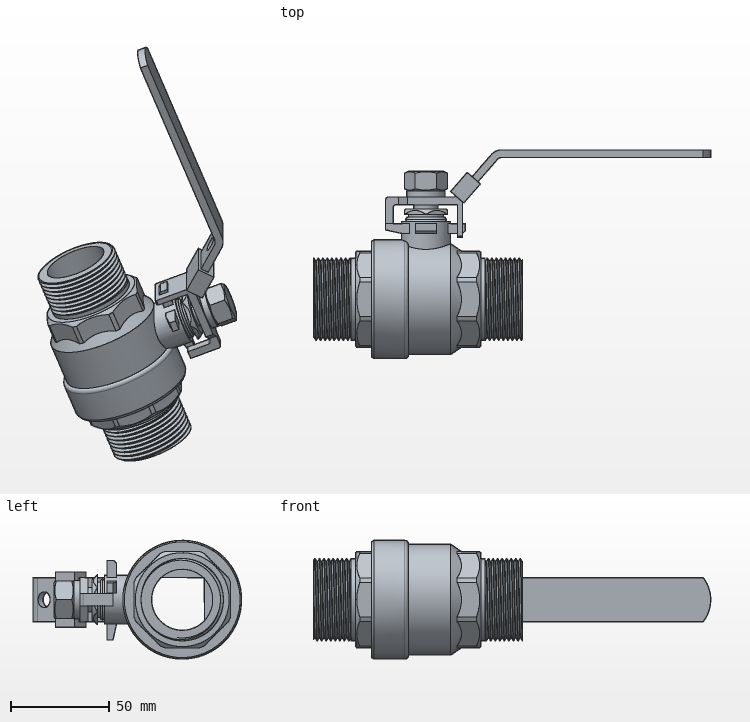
import cadquery as cq
import math


BORE_D = 31.0
LEFT_OCTAGON_X = -35.8
COLLAR_LEFT_X = -27.8
COLLAR_RIGHT_X = -8.8
CONE_START_X = 12.6
CONE_END_X = 18.8
RIGHT_OCTAGON_X = 27.9
COLLAR_R = 30.25
BODY_R = 28.25
CONE_END_R = 24.0
COLLAR_CHAMFER_LENGTH = 1.4
COLLAR_CHAMFER_DEPTH = 0.8

OCTAGON_FLATS = 49.0
OCTAGON_ROUND_R = 26.05
OCTAGON_FACE_R = 23.9

THREAD_R = 20.95
THREAD_PITCH = 2.309
THREAD_DEPTH = 1.48
THREAD_ROOT_R = THREAD_R - THREAD_DEPTH
THREAD_LENGTH = 19.1
NECK_LENGTH = 2.2
RIDGE_HALF_BASE = 1.05
RIDGE_HALF_CREST = 0.12
RIDGE_OVERLAP = 0.1
RIGHT_THREAD_TURN = -90

BONNET_R = 12.5
BONNET_TOP_Y = 39.6
SPRING_TOP_Y = 41.7
SPRING_RIM_R = 10.5
SPRING_CROWN_R = 9.7
GLAND_R = 9.0
LOCK_NUT_BOTTOM_Y = 43.1
LOCK_NUT_TOP_Y = 45.9
LOCK_NUT_FLATS = 22.0
LOCK_NUT_FACE_R = 10.4
STEM_R = 6.25
WASHER_R = 9.8
NUT_BOTTOM_Y = 55.1
NUT_TOP_Y = 65.2
NUT_FLATS = 19.0
NUT_FACE_R = 8.7
NUT_CHAMFER_HEIGHT = 1.1

WING_TOP_Y = 38.4
WING_BOTTOM_Y = 33.4
WING_REACH = 20.0
WING_HALF_WIDTH = 5.4
WING_CHAMFER = 1.4
STOP_REACH = 20.6
STOP_NEAR_SIDE = 3.3
STOP_FAR_SIDE = 9.4
STOP_TIP_FAR_SIDE = 8.4
STOP_TIP_Y = 35.2
STOP_SLOPE_END = 12.6
STOP_ROOT = math.sqrt(BONNET_R**2 - STOP_FAR_SIDE**2)

LEVER_WIDTH = 22.5
LEVER_THICKNESS = 4.0
LEVER_PLATE_Y = 48.0
LEVER_GRIP_TOP_Y = 76.0
LEVER_ANGLE = 49.0
LEVER_KNEE_X = 14.5
LEVER_LEFT_X = -20.6
LEVER_RIGHT_X = 144.95
LEVER_TAB_BOTTOM_Y = 35.2
LEVER_TAB_HALF_WIDTH = 3.2
LEVER_FLARE_START_X = -13.9
LEVER_FLARE_END_X = -9.3
LEVER_END_BULGE = 3.9
LEVER_INNER_R = 3.0
TAB_BEND_R = 1.5
EDGE_REACH = 0.1
HANG_HOLE_D = 8.0
HANG_HOLE_Y = 69.0

SLEEVE_LENGTH = 12.9
SLEEVE_HEIGHT = 9.0
SLEEVE_WIDTH = 28.2
SLEEVE_START_X = 15.9
SLEEVE_START_Y = 51.85
LOCK_PLATE_LEFT_X = 16.0
LOCK_PLATE_RIGHT_X = 18.7
LOCK_PLATE_BOTTOM_Y = 31.4
LOCK_PLATE_TOP_Y = 51.0
LOCK_PLATE_CHAMFER = 0.7


def revolve_about_x(points):
    """Solid of revolution about X from (x, radius) points, closed along the axis."""
    outline = [(points[0][0], 0)] + points + [(points[-1][0], 0)]
    return cq.Workplane("XY").polyline(outline).close().revolve(360, (0, 0), (1, 0))


def revolve_about_y(points):
    """Solid of revolution about Y from (radius, y) points, closed along the axis."""
    outline = [(0, points[0][1])] + points + [(0, points[-1][1])]
    return cq.Workplane("XY").polyline(outline).close().revolve(360, (0, 0), (0, 1))


def make_collar_and_body():
    """Collar with a chamfered left rim and a rounded right rim, then the body and its cone."""
    rim_r = COLLAR_R - BODY_R
    bend = rim_r * math.sqrt(0.5)
    return (
        cq.Workplane("XY")
        .moveTo(COLLAR_LEFT_X, 0)
        .lineTo(COLLAR_LEFT_X, COLLAR_R - COLLAR_CHAMFER_DEPTH)
        .lineTo(COLLAR_LEFT_X + COLLAR_CHAMFER_LENGTH, COLLAR_R)
        .lineTo(COLLAR_RIGHT_X - rim_r, COLLAR_R)
        .threePointArc(
            (COLLAR_RIGHT_X - rim_r + bend, BODY_R + bend),
            (COLLAR_RIGHT_X, BODY_R),
        )
        .lineTo(CONE_START_X, BODY_R)
        .lineTo(CONE_END_X, CONE_END_R)
        .lineTo(CONE_END_X, 0)
        .close()
        .revolve(360, (0, 0), (1, 0))
    )


def make_octagon(inner_x, outer_x):
    """Wrench octagon with rounded corners and a 45 degree chamfer on its outer face."""
    start_x = min(inner_x, outer_x)
    prism = (
        cq.Workplane("YZ", origin=(start_x, 0, 0))
        .polygon(8, OCTAGON_FLATS / math.cos(math.pi / 8))
        .extrude(abs(outer_x - inner_x))
        .rotate((0, 0, 0), (1, 0, 0), 22.5)
    )
    chamfer = OCTAGON_ROUND_R - OCTAGON_FACE_R
    chamfer_x = outer_x + math.copysign(chamfer, inner_x - outer_x)
    envelope = revolve_about_x(
        [(inner_x, OCTAGON_ROUND_R), (chamfer_x, OCTAGON_ROUND_R), (outer_x, OCTAGON_FACE_R)]
    )
    return prism.intersect(envelope)


def make_threaded_end():
    """Threaded spigot along +Z: plain neck below Z = 0, helical thread from Z = 0 to its end."""
    neck = cq.Workplane("XY").circle(THREAD_R).extrude(-NECK_LENGTH)
    core = cq.Workplane("XY").circle(THREAD_ROOT_R).extrude(THREAD_LENGTH)
    slab = cq.Workplane("XY").circle(THREAD_R + THREAD_DEPTH).extrude(THREAD_LENGTH)
    buried_r = THREAD_ROOT_R - RIDGE_OVERLAP
    helix = cq.Wire.makeHelix(THREAD_PITCH, THREAD_LENGTH + 2 * THREAD_PITCH, THREAD_ROOT_R)
    ridge = (
        cq.Workplane("XZ")
        .polyline(
            [
                (buried_r, RIDGE_HALF_BASE),
                (THREAD_R, RIDGE_HALF_CREST),
                (THREAD_R, -RIDGE_HALF_CREST),
                (buried_r, -RIDGE_HALF_BASE),
            ]
        )
        .close()
        .sweep(cq.Workplane(helix), isFrenet=True)
        .translate((0, 0, -THREAD_PITCH))
        .intersect(slab)
    )
    return core.union(ridge).union(neck)


def make_hex_nut(bottom_y, top_y, flats, turn):
    """Hexagonal prism about the stem axis; a turn of 0 points its corners along X."""
    return (
        cq.Workplane("XZ", origin=(0, bottom_y, 0))
        .polygon(6, flats / math.cos(math.pi / 6))
        .extrude(bottom_y - top_y)
        .rotate((0, 0, 0), (0, 1, 0), turn)
    )


def make_stem_stack():
    """Bonnet, two conical spring washers, gland, stem and flat washer as one turned shape."""
    spring_mid_y = (BONNET_TOP_Y + SPRING_TOP_Y) / 2
    plate_top_y = LEVER_PLATE_Y + LEVER_THICKNESS
    return revolve_about_y(
        [
            (BONNET_R, 0),
            (BONNET_R, BONNET_TOP_Y),
            (SPRING_RIM_R, BONNET_TOP_Y),
            (SPRING_CROWN_R, spring_mid_y),
            (SPRING_RIM_R, spring_mid_y),
            (SPRING_CROWN_R, SPRING_TOP_Y),
            (GLAND_R, SPRING_TOP_Y),
            (GLAND_R, LOCK_NUT_BOTTOM_Y),
            (STEM_R, LOCK_NUT_BOTTOM_Y),
            (STEM_R, plate_top_y),
            (WASHER_R, plate_top_y),
            (WASHER_R, NUT_BOTTOM_Y),
        ]
    )


def make_lock_nut():
    """Thin hex nut with corners along Z and its +Y corners turned down to a cone."""
    corner_r = LOCK_NUT_FLATS / 2 / math.cos(math.pi / 6)
    cone = revolve_about_y([(corner_r, LOCK_NUT_BOTTOM_Y), (LOCK_NUT_FACE_R, LOCK_NUT_TOP_Y)])
    return make_hex_nut(LOCK_NUT_BOTTOM_Y, LOCK_NUT_TOP_Y, LOCK_NUT_FLATS, 30).intersect(cone)


def make_handle_nut():
    """Hex nut with corners along X, chamfered on both faces."""
    corner_r = NUT_FLATS / 2 / math.cos(math.pi / 6)
    envelope = revolve_about_y(
        [
            (NUT_FACE_R, NUT_BOTTOM_Y),
            (corner_r, NUT_BOTTOM_Y + NUT_CHAMFER_HEIGHT),
            (corner_r, NUT_TOP_Y - NUT_CHAMFER_HEIGHT),
            (NUT_FACE_R, NUT_TOP_Y),
        ]
    )
    return make_hex_nut(NUT_BOTTOM_Y, NUT_TOP_Y, NUT_FLATS, 0).intersect(envelope)


def make_wing():
    """Plain wing along +X with its lower tip chamfered."""
    return (
        cq.Workplane("XY")
        .polyline(
            [
                (0, WING_BOTTOM_Y),
                (WING_REACH - WING_CHAMFER, WING_BOTTOM_Y),
                (WING_REACH, WING_BOTTOM_Y + WING_CHAMFER),
                (WING_REACH, WING_TOP_Y),
                (0, WING_TOP_Y),
            ]
        )
        .close()
        .extrude(WING_HALF_WIDTH, both=True)
    )


def make_stop_wing():
    """Stop wing along -X on the +Z side, with a sloped underside and a narrowing outer side."""
    side = (
        cq.Workplane("XY")
        .polyline(
            [
                (0, WING_BOTTOM_Y),
                (-STOP_SLOPE_END, WING_BOTTOM_Y),
                (-STOP_REACH, STOP_TIP_Y),
                (-STOP_REACH, WING_TOP_Y),
                (0, WING_TOP_Y),
            ]
        )
        .close()
        .extrude(STOP_FAR_SIDE)
    )
    plan = (
        cq.Workplane("XZ")
        .polyline(
            [
                (0, STOP_NEAR_SIDE),
                (-STOP_REACH, STOP_NEAR_SIDE),
                (-STOP_REACH, STOP_TIP_FAR_SIDE),
                (-STOP_ROOT, STOP_FAR_SIDE),
                (0, STOP_FAR_SIDE),
            ]
        )
        .close()
        .extrude(-WING_TOP_Y)
    )
    return side.intersect(plan)


def round_edge(body, x, y, radius):
    """Fillet the edge parallel to Z that runs through (x, y)."""
    lower = (x - EDGE_REACH, y - EDGE_REACH, -LEVER_WIDTH)
    upper = (x + EDGE_REACH, y + EDGE_REACH, LEVER_WIDTH)
    return body.edges("|Z").edges(cq.selectors.BoxSelector(lower, upper)).fillet(radius)


def make_lever():
    """Bent strip: stop tab, plate on the stem, raised slope and long grip, with a hanging hole."""
    angle = math.radians(LEVER_ANGLE)
    plate_top_y = LEVER_PLATE_Y + LEVER_THICKNESS
    grip_bottom_y = LEVER_GRIP_TOP_Y - LEVER_THICKNESS
    slope_run = (LEVER_GRIP_TOP_Y - plate_top_y) / math.tan(angle)
    mitre_shift = LEVER_THICKNESS * math.tan(angle / 2)
    upper_bend_x = LEVER_KNEE_X + slope_run
    tab_inner_x = LEVER_LEFT_X + LEVER_THICKNESS
    strip = (
        cq.Workplane("XY")
        .polyline(
            [
                (LEVER_LEFT_X, LEVER_TAB_BOTTOM_Y),
                (LEVER_LEFT_X, plate_top_y),
                (LEVER_KNEE_X, plate_top_y),
                (upper_bend_x, LEVER_GRIP_TOP_Y),
                (LEVER_RIGHT_X, LEVER_GRIP_TOP_Y),
                (LEVER_RIGHT_X, grip_bottom_y),
                (upper_bend_x + mitre_shift, grip_bottom_y),
                (LEVER_KNEE_X + mitre_shift, LEVER_PLATE_Y),
                (tab_inner_x, LEVER_PLATE_Y),
                (tab_inner_x, LEVER_TAB_BOTTOM_Y),
            ]
        )
        .close()
        .extrude(LEVER_WIDTH / 2, both=True)
    )

    outer_r = LEVER_INNER_R + LEVER_THICKNESS
    strip = round_edge(strip, upper_bend_x, LEVER_GRIP_TOP_Y, outer_r)
    strip = round_edge(strip, upper_bend_x + mitre_shift, grip_bottom_y, LEVER_INNER_R)
    strip = round_edge(strip, LEVER_LEFT_X, plate_top_y, TAB_BEND_R)
    strip = round_edge(strip, tab_inner_x, LEVER_PLATE_Y, TAB_BEND_R)

    half_width = LEVER_WIDTH / 2
    plan = (
        cq.Workplane("XZ")
        .moveTo(LEVER_LEFT_X, LEVER_TAB_HALF_WIDTH)
        .lineTo(LEVER_FLARE_START_X, LEVER_TAB_HALF_WIDTH)
        .lineTo(LEVER_FLARE_END_X, half_width)
        .lineTo(LEVER_RIGHT_X - LEVER_END_BULGE, half_width)
        .threePointArc((LEVER_RIGHT_X, 0), (LEVER_RIGHT_X - LEVER_END_BULGE, -half_width))
        .lineTo(LEVER_FLARE_END_X, -half_width)
        .lineTo(LEVER_FLARE_START_X, -LEVER_TAB_HALF_WIDTH)
        .lineTo(LEVER_LEFT_X, -LEVER_TAB_HALF_WIDTH)
        .close()
        .extrude(-LEVER_GRIP_TOP_Y)
    )

    hole_rise = HANG_HOLE_Y - LEVER_PLATE_Y - LEVER_THICKNESS / 2
    hole_x = LEVER_KNEE_X + mitre_shift / 2 + hole_rise / math.tan(angle)
    normal = cq.Vector(-math.sin(angle), math.cos(angle), 0)
    hole_base = cq.Vector(hole_x, HANG_HOLE_Y, 0) - normal * LEVER_THICKNESS
    hole = cq.Workplane(cq.Solid.makeCylinder(HANG_HOLE_D / 2, 2 * LEVER_THICKNESS, hole_base, normal))
    return strip.intersect(plan).cut(hole)


def make_locking_slide():
    """Sleeve on the lever slope with a plate that hangs over the right-hand wing."""
    sleeve = (
        cq.Workplane("XY")
        .box(SLEEVE_LENGTH, SLEEVE_HEIGHT, SLEEVE_WIDTH, centered=(False, True, True))
        .rotate((0, 0, 0), (0, 0, 1), LEVER_ANGLE)
        .translate((SLEEVE_START_X, SLEEVE_START_Y, 0))
    )
    plate = (
        cq.Workplane("XY")
        .moveTo(LOCK_PLATE_LEFT_X, LOCK_PLATE_BOTTOM_Y)
        .lineTo(LOCK_PLATE_RIGHT_X, LOCK_PLATE_BOTTOM_Y)
        .lineTo(LOCK_PLATE_RIGHT_X, LOCK_PLATE_TOP_Y)
        .lineTo(LOCK_PLATE_LEFT_X, LOCK_PLATE_TOP_Y)
        .close()
        .extrude(LEVER_WIDTH / 2, both=True)
        .edges("|X and <Y")
        .chamfer(LOCK_PLATE_CHAMFER)
    )
    return sleeve.union(plate)


def turned_about_stem(shape, degrees):
    """Copy of a shape turned about the Y axis."""
    return shape.rotate((0, 0, 0), (0, 1, 0), degrees)


threaded_end = make_threaded_end()
left_end = (
    threaded_end
    .rotate((0, 0, 0), (0, 1, 0), -90)
    .translate((LEFT_OCTAGON_X - NECK_LENGTH, 0, 0))
)
right_end = (
    threaded_end
    .rotate((0, 0, 0), (0, 0, 1), RIGHT_THREAD_TURN)
    .rotate((0, 0, 0), (0, 1, 0), 90)
    .translate((RIGHT_OCTAGON_X + NECK_LENGTH, 0, 0))
)

parts = [
    make_octagon(COLLAR_LEFT_X, LEFT_OCTAGON_X),
    make_octagon(CONE_START_X, RIGHT_OCTAGON_X),
    make_stem_stack(),
    make_lock_nut(),
    make_handle_nut(),
    make_wing(),
    turned_about_stem(make_wing(), -90),
    make_stop_wing(),
    turned_about_stem(make_stop_wing().mirror("XY"), -90),
    make_lever(),
    make_locking_slide(),
    left_end,
    right_end,
]

valve = make_collar_and_body()
for part in parts:
    valve = valve.union(part)

end_length = NECK_LENGTH + THREAD_LENGTH
bore = (
    cq.Workplane("YZ", origin=(LEFT_OCTAGON_X - end_length, 0, 0))
    .circle(BORE_D / 2)
    .extrude(RIGHT_OCTAGON_X - LEFT_OCTAGON_X + 2 * end_length)
)
result = valve.cut(bore)